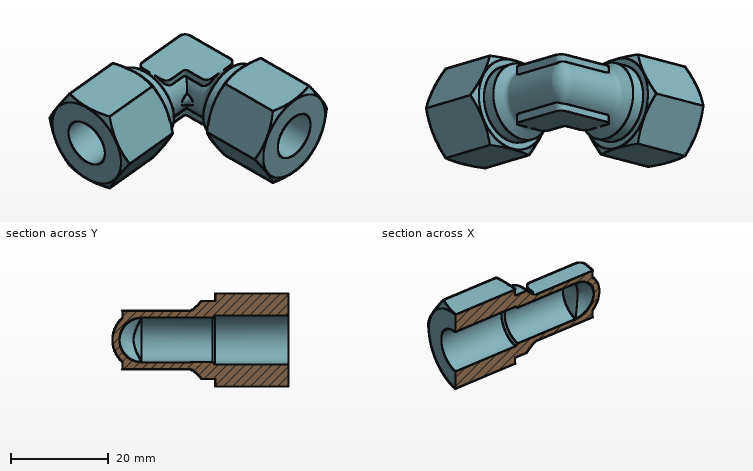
import cadquery as cq
import math


OVERALL = 40.95
ACROSS_FLATS = 19.0
NUT_LENGTH = 15.0
NUT_FACE_DIAMETER = 18.85
NUT_CHAMFER_ANGLE = 30.0
CONE_CLEARANCE = 0.4

BODY_DIAMETER = 12.0
COLLAR_DIAMETER = 15.98
COLLAR_START = 12.2
NECK_CONE_ANGLE = 45.0
NECK_BLEND_RADIUS = 1.5

OUTER_BEND_RADIUS = 3.0
INNER_BEND_RADIUS = 2.05
WEB_NOSE_RADIUS = 1.5
WEB_DEPTH = 3.7

PAD_HALF_WIDTH_X_ARM = 4.35
PAD_HALF_WIDTH_Y_ARM = 4.0
PAD_REACH = 10.0
PAD_CORNER_RADIUS = 1.5
PAD_INNER_RADIUS = 0.5

SOCKET_DIAMETER = 10.0
SOCKET_BOTTOM = 15.0
BORE_DIAMETER = 9.0
DRILL_TIP_ANGLE = 120.0

body_radius = BODY_DIAMETER / 2
collar_radius = COLLAR_DIAMETER / 2
socket_radius = SOCKET_DIAMETER / 2
bore_radius = BORE_DIAMETER / 2
corner_radius = ACROSS_FLATS / math.sqrt(3)
arm_end = OVERALL - corner_radius
nut_start = arm_end - NUT_LENGTH
bend_offset = OUTER_BEND_RADIUS - body_radius


def turned_about_x(profile):
    return profile.close().revolve(360, (0, 0, 0), (1, 0, 0))


def on_both_arms(solid):
    """Join a solid on the +X arm with its copy on the -Y arm."""
    return solid.union(solid.rotate((0, 0, 0), (0, 0, 1), -90))


def neck():
    """Round body on the +X arm, blended into a cone and a collar."""
    cone_start = COLLAR_START - (collar_radius - body_radius) / math.tan(math.radians(NECK_CONE_ANGLE))
    half_turn = math.radians(NECK_CONE_ANGLE / 2)
    tangent = NECK_BLEND_RADIUS * math.tan(half_turn)
    blend_start = cone_start - tangent
    blend_centre_radius = body_radius + NECK_BLEND_RADIUS
    cone_angle = math.radians(NECK_CONE_ANGLE)
    blend_end = cone_start + tangent * math.cos(cone_angle)
    blend_end_radius = body_radius + tangent * math.sin(cone_angle)
    return turned_about_x(
        cq.Workplane("XY")
        .moveTo(bend_offset, 0)
        .lineTo(bend_offset, body_radius)
        .lineTo(blend_start, body_radius)
        .threePointArc(
            (
                blend_start + NECK_BLEND_RADIUS * math.sin(half_turn),
                blend_centre_radius - NECK_BLEND_RADIUS * math.cos(half_turn),
            ),
            (blend_end, blend_end_radius),
        )
        .lineTo(COLLAR_START, collar_radius)
        .lineTo(nut_start, collar_radius)
        .lineTo(nut_start, 0)
    )


def nut():
    """Hexagon on the +X arm with both ends chamfered by a cone."""
    hexagon = (
        cq.Workplane("YZ", origin=(nut_start, 0, 0))
        .polygon(6, 2 * corner_radius)
        .extrude(NUT_LENGTH)
    )
    face_radius = NUT_FACE_DIAMETER / 2
    cone_radius = corner_radius + CONE_CLEARANCE
    cone_length = (cone_radius - face_radius) * math.tan(math.radians(NUT_CHAMFER_ANGLE))
    envelope = turned_about_x(
        cq.Workplane("XY")
        .moveTo(nut_start, 0)
        .lineTo(nut_start, face_radius)
        .lineTo(nut_start + cone_length, cone_radius)
        .lineTo(arm_end - cone_length, cone_radius)
        .lineTo(arm_end, face_radius)
        .lineTo(arm_end, 0)
    )
    return hexagon.intersect(envelope)


def outer_bend():
    """Rounded outside corner: the body section turned about a vertical axis."""
    half_height = math.sqrt(body_radius**2 - bend_offset**2)
    return (
        cq.Workplane("XZ", origin=(bend_offset, -bend_offset, 0))
        .moveTo(0, -half_height)
        .threePointArc((-OUTER_BEND_RADIUS, 0), (0, half_height))
        .close()
        .revolve(90, (0, 0, 0), (0, -1, 0))
    )


def inner_web():
    """Round-nosed web that softens the inside corner."""
    bend_axis = body_radius + INNER_BEND_RADIUS
    nose_centre = INNER_BEND_RADIUS + WEB_NOSE_RADIUS
    return (
        cq.Workplane("XZ", origin=(bend_axis, -bend_axis, 0))
        .moveTo(-WEB_DEPTH, -WEB_NOSE_RADIUS)
        .lineTo(-nose_centre, -WEB_NOSE_RADIUS)
        .threePointArc((-INNER_BEND_RADIUS, 0), (-nose_centre, WEB_NOSE_RADIUS))
        .lineTo(-WEB_DEPTH, WEB_NOSE_RADIUS)
        .close()
        .revolve(90, (0, 0, 0), (0, -1, 0))
    )


def wrench_pad():
    """L-shaped pad whose top and bottom are level with the round body."""
    pad = (
        cq.Workplane("XY", origin=(0, 0, -body_radius))
        .moveTo(-PAD_HALF_WIDTH_Y_ARM, PAD_HALF_WIDTH_X_ARM)
        .lineTo(PAD_REACH, PAD_HALF_WIDTH_X_ARM)
        .lineTo(PAD_REACH, -PAD_HALF_WIDTH_X_ARM)
        .lineTo(PAD_HALF_WIDTH_Y_ARM, -PAD_HALF_WIDTH_X_ARM)
        .lineTo(PAD_HALF_WIDTH_Y_ARM, -PAD_REACH)
        .lineTo(-PAD_HALF_WIDTH_Y_ARM, -PAD_REACH)
        .close()
        .extrude(BODY_DIAMETER)
    )
    inner_edge = cq.selectors.NearestToPointSelector((PAD_HALF_WIDTH_Y_ARM, -PAD_HALF_WIDTH_X_ARM, 0))
    outer_edges = pad.edges("|Z").edges(cq.selectors.InverseSelector(inner_edge))
    return outer_edges.fillet(PAD_CORNER_RADIUS).edges("|Z").edges(inner_edge).fillet(PAD_INNER_RADIUS)


def bore():
    """Tube socket, 45 degree seat and drilled hole with a conical tip, along the +X arm."""
    tip_length = bore_radius / math.tan(math.radians(DRILL_TIP_ANGLE / 2))
    return turned_about_x(
        cq.Workplane("XY")
        .moveTo(-tip_length, 0)
        .lineTo(0, bore_radius)
        .lineTo(SOCKET_BOTTOM - (socket_radius - bore_radius), bore_radius)
        .lineTo(SOCKET_BOTTOM, socket_radius)
        .lineTo(arm_end, socket_radius)
        .lineTo(arm_end, 0)
    )


result = (
    on_both_arms(neck())
    .union(outer_bend())
    .union(inner_web())
    .union(wrench_pad())
    .union(on_both_arms(nut()))
    .cut(on_both_arms(bore()))
)